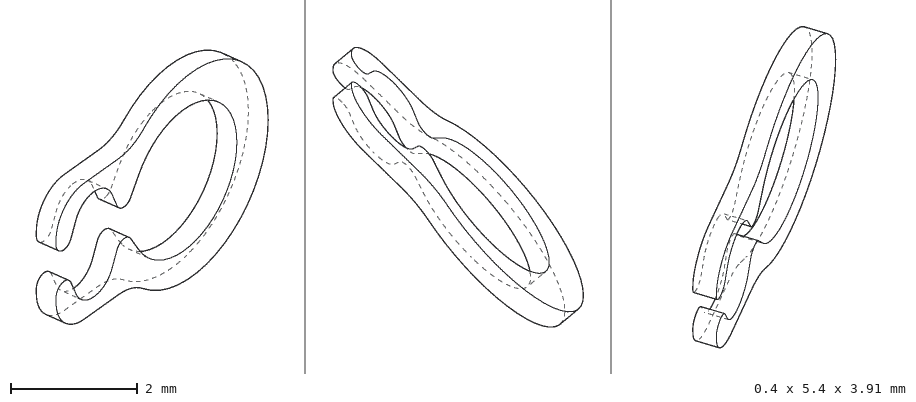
import cadquery as cq
import math

thickness = 0.4
length = 5.4
ring_radius = 1.955
bore_radius = 1.35
bore_offset = 0.195
ear_half_height = 1.3
neck_radius = 1.0
ear_corner_radius = 0.71
lobe_radius = 0.2
lobe_height = 0.5
scallop_radius = 0.5
lobe_spacing = 1.535

tip_y = ring_radius - length
outer_lobe = (tip_y + lobe_radius, lobe_height)
inner_lobe = (outer_lobe[0] + lobe_spacing, lobe_height)
scallop = (outer_lobe[0] + lobe_spacing / 2, lobe_height)
bore = (-bore_offset, 0)
ear_corner = (tip_y + ear_corner_radius, ear_half_height - ear_corner_radius)
neck_z = ear_half_height + neck_radius
neck = (-math.sqrt((ring_radius + neck_radius) ** 2 - neck_z ** 2), neck_z)


def on_circle(center, radius, angle):
    """Point on a circle at an angle measured from +Y toward +Z."""
    return (center[0] + radius * math.cos(angle), center[1] + radius * math.sin(angle))


def crossed_tangent(first, first_radius, second, second_radius, side):
    """Ends of a line tangent to two circles, with one circle on each side of it."""
    dy = second[0] - first[0]
    dz = second[1] - first[1]
    swing = math.acos((first_radius + second_radius) / math.hypot(dy, dz))
    angle = math.atan2(dz, dy) + side * swing
    return (
        on_circle(first, first_radius, angle),
        on_circle(second, second_radius, angle + math.pi),
    )


bore_end, inner_lobe_bore_side = crossed_tangent(bore, bore_radius, inner_lobe, lobe_radius, -1)
scallop_start, inner_lobe_scallop_side = crossed_tangent(scallop, scallop_radius, inner_lobe, lobe_radius, 1)
scallop_end, outer_lobe_flank = crossed_tangent(scallop, scallop_radius, outer_lobe, lobe_radius, -1)

neck_angle = math.atan2(neck[1], neck[0])
neck_start = on_circle((0, 0), ring_radius, neck_angle)
neck_middle_angle = (neck_angle + math.pi + 3 * math.pi / 2) / 2
neck_middle = on_circle(neck, neck_radius, neck_middle_angle)

up = math.pi / 2
down = -math.pi / 2
up_and_out = 3 * math.pi / 4


def edge(start, end, middle=None):
    """Straight edge, or an arc when a middle point is given, in the YZ plane."""
    if middle is None:
        return cq.Edge.makeLine(cq.Vector(0, *start), cq.Vector(0, *end))
    return cq.Edge.makeThreePointArc(cq.Vector(0, *start), cq.Vector(0, *middle), cq.Vector(0, *end))


def mirrored(point):
    """Matching point below Z = 0."""
    return (point[0], -point[1])


upper_ear = [
    ((neck[0], ear_half_height), neck_middle),
    ((ear_corner[0], ear_half_height), None),
    ((tip_y, ear_corner[1]), on_circle(ear_corner, ear_corner_radius, up_and_out)),
    ((tip_y, lobe_height), None),
    (outer_lobe_flank, on_circle(outer_lobe, lobe_radius, down)),
    (scallop_end, None),
    (scallop_start, on_circle(scallop, scallop_radius, up)),
    (inner_lobe_scallop_side, None),
    (inner_lobe_bore_side, on_circle(inner_lobe, lobe_radius, down)),
    (bore_end, None),
]

edges = [
    edge(mirrored(neck_start), neck_start, (ring_radius, 0)),
    edge(mirrored(bore_end), bore_end, (bore[0] + bore_radius, 0)),
]
start = neck_start
for end, middle in upper_ear:
    lower_middle = None if middle is None else mirrored(middle)
    edges.append(edge(start, end, middle))
    edges.append(edge(mirrored(start), mirrored(end), lower_middle))
    start = end

profile = cq.Wire.combine(edges)[0]
blank = cq.Solid.extrudeLinear(profile, [], cq.Vector(thickness, 0, 0))
result = cq.Workplane(blank.translate(cq.Vector(-thickness / 2, 0, 0)))